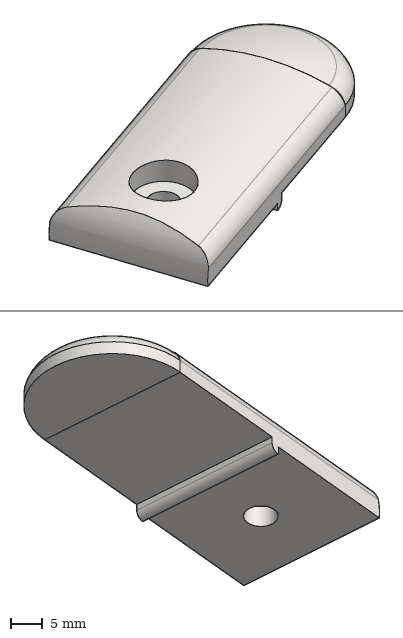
import cadquery as cq
import math

LENGTH = 62.9
WIDTH = 28.0
HALF_WIDTH = WIDTH / 2
PLATE_LENGTH = LENGTH - HALF_WIDTH
FRONT_Y = -PLATE_LENGTH
CROWN_Z = 7.0
SIDE_Z = 2.3

PLATE_CROWN_HALF_WIDTH = 11.6
PLATE_SHOULDER_Z = 5.15
NOSE_CROWN_RADIUS = 11.1
NOSE_SHOULDER_Z = 5.35
SHOULDER_BULGE = 0.5

SEAT_Z = -1.15
LIP_BOTTOM_Z = -2.5
LIP_FRONT_Y = FRONT_Y + 24.85
LIP_THICKNESS = 1.5
LIP_BACK_Y = LIP_FRONT_Y + LIP_THICKNESS
LIP_ROUND = 1.4

FRONT_RADIUS = 19.4 / 2
FRONT_ARC_Z = 0.0
HOLE_Y = FRONT_Y + 12.5
HOLE_DIAMETER = 5.5
COUNTERBORE_DIAMETER = 10.9
COUNTERBORE_FLOOR_Z = 2.75


def shoulder_middle(crown_edge, shoulder_z):
    """Middle point of the arc from the side wall to the edge of the crown."""
    across = HALF_WIDTH - crown_edge
    rise = shoulder_z - SIDE_Z
    chord = math.hypot(across, rise)
    return (
        (HALF_WIDTH + crown_edge) / 2 + SHOULDER_BULGE * rise / chord,
        (SIDE_Z + shoulder_z) / 2 + SHOULDER_BULGE * across / chord,
    )


def crown_middle(crown_edge, shoulder_z):
    """Point halfway round the crown arc between its edge and the centre line."""
    sagitta = CROWN_Z - shoulder_z
    radius = (crown_edge**2 + sagitta**2) / (2 * sagitta)
    angle = math.asin(crown_edge / radius) / 2
    return radius * math.sin(angle), CROWN_Z - radius * (1 - math.cos(angle))


def crowned_bar():
    """Plate cross-section extruded from the nose to the front end."""
    middle_x, middle_z = shoulder_middle(PLATE_CROWN_HALF_WIDTH, PLATE_SHOULDER_Z)
    return (
        cq.Workplane("XZ")
        .moveTo(-HALF_WIDTH, LIP_BOTTOM_Z)
        .lineTo(HALF_WIDTH, LIP_BOTTOM_Z)
        .lineTo(HALF_WIDTH, SIDE_Z)
        .threePointArc((middle_x, middle_z), (PLATE_CROWN_HALF_WIDTH, PLATE_SHOULDER_Z))
        .threePointArc((0, CROWN_Z), (-PLATE_CROWN_HALF_WIDTH, PLATE_SHOULDER_Z))
        .threePointArc((-middle_x, middle_z), (-HALF_WIDTH, SIDE_Z))
        .close()
        .extrude(PLATE_LENGTH)
    )


def side_envelope():
    """Lengthwise outline with the curved front end, the seat and the lip."""
    top_angle = math.asin((CROWN_Z - FRONT_ARC_Z) / FRONT_RADIUS)
    bottom_angle = math.asin((SEAT_Z - FRONT_ARC_Z) / FRONT_RADIUS)

    def front_point(angle):
        return (
            FRONT_Y + FRONT_RADIUS * (1 - math.cos(angle)),
            FRONT_ARC_Z + FRONT_RADIUS * math.sin(angle),
        )

    round_offset = LIP_ROUND * math.sqrt(0.5)
    round_middle = (
        LIP_BACK_Y - LIP_ROUND + round_offset,
        LIP_BOTTOM_Z + LIP_ROUND - round_offset,
    )
    return (
        cq.Workplane("YZ")
        .moveTo(0, 0)
        .lineTo(0, CROWN_Z)
        .lineTo(*front_point(top_angle))
        .threePointArc((FRONT_Y, FRONT_ARC_Z), front_point(bottom_angle))
        .lineTo(LIP_FRONT_Y, SEAT_Z)
        .lineTo(LIP_FRONT_Y, LIP_BOTTOM_Z)
        .lineTo(LIP_BACK_Y - LIP_ROUND, LIP_BOTTOM_Z)
        .threePointArc(round_middle, (LIP_BACK_Y, LIP_BOTTOM_Z + LIP_ROUND))
        .lineTo(LIP_BACK_Y, 0)
        .close()
        .extrude(HALF_WIDTH, both=True)
    )


def screw_hole():
    """Cutter for the through hole and its counterbore."""
    hole = (
        cq.Workplane("XY", origin=(0, HOLE_Y, SEAT_Z))
        .circle(HOLE_DIAMETER / 2)
        .extrude(CROWN_Z - SEAT_Z)
    )
    counterbore = (
        cq.Workplane("XY", origin=(0, HOLE_Y, COUNTERBORE_FLOOR_Z))
        .circle(COUNTERBORE_DIAMETER / 2)
        .extrude(CROWN_Z - COUNTERBORE_FLOOR_Z)
    )
    return hole.union(counterbore)


def make_plate():
    return crowned_bar().intersect(side_envelope()).cut(screw_hole())


def make_nose():
    """Half-round domed end, turned through 180 degrees about the vertical axis."""
    return (
        cq.Workplane("XZ")
        .moveTo(0, 0)
        .lineTo(HALF_WIDTH, 0)
        .lineTo(HALF_WIDTH, SIDE_Z)
        .threePointArc(
            shoulder_middle(NOSE_CROWN_RADIUS, NOSE_SHOULDER_Z),
            (NOSE_CROWN_RADIUS, NOSE_SHOULDER_Z),
        )
        .threePointArc(crown_middle(NOSE_CROWN_RADIUS, NOSE_SHOULDER_Z), (0, CROWN_Z))
        .close()
        .revolve(180, (0, 0, 0), (0, 1, 0))
    )


plate = make_plate()
nose = make_nose()

result = cq.Compound.makeCompound([plate.val(), nose.val()])